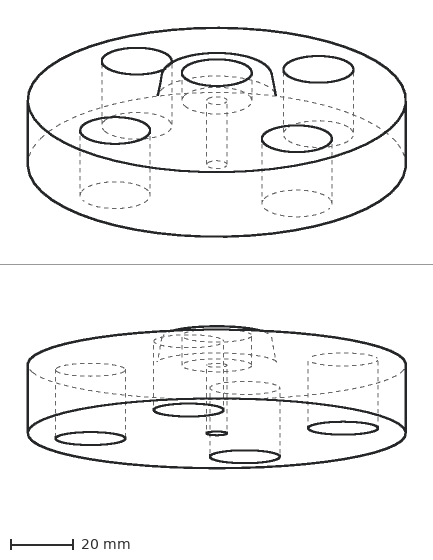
import cadquery as cq
import math

flange_diameter = 120.6
overall_height = 31.7
flange_thickness = 22.3

hub_height = overall_height - flange_thickness
hub_base_diameter = 38.1
hub_taper_angle = 10.0
hub_fillet_radius = 1.5

socket_diameter = 22.3
socket_depth = 9.6
bore_diameter = 6.5

bolt_hole_count = 4
bolt_hole_diameter = 22.3
bolt_circle_radius = 41.3


def make_body():
    """Disc and tapered hub, revolved about Z, with a rounded hub rim and root."""
    flange_radius = flange_diameter / 2
    base_radius = hub_base_diameter / 2
    top_radius = base_radius - hub_height * math.tan(math.radians(hub_taper_angle))
    body = (
        cq.Workplane("XZ")
        .moveTo(0, 0)
        .lineTo(flange_radius, 0)
        .lineTo(flange_radius, flange_thickness)
        .lineTo(base_radius, flange_thickness)
        .lineTo(top_radius, overall_height)
        .lineTo(0, overall_height)
        .close()
        .revolve(360, (0, 0, 0), (0, 1, 0))
    )
    hub_rim = cq.selectors.RadiusNthSelector(0)
    hub_root = cq.selectors.RadiusNthSelector(1)
    return body.edges(hub_rim + hub_root).fillet(hub_fillet_radius)


def drill_bore(body):
    """Through bore with a wider socket sunk from the top of the hub."""
    return body.faces(">Z").workplane(origin=(0, 0, 0)).cboreHole(bore_diameter, socket_diameter, socket_depth)


def drill_bolt_holes(body):
    """Through holes evenly spaced on the bolt circle, the first on +X."""
    drills = (
        cq.Workplane("XY")
        .polarArray(bolt_circle_radius, 0, 360, bolt_hole_count)
        .circle(bolt_hole_diameter / 2)
        .extrude(flange_thickness)
    )
    return body.cut(drills)


result = drill_bolt_holes(drill_bore(make_body()))